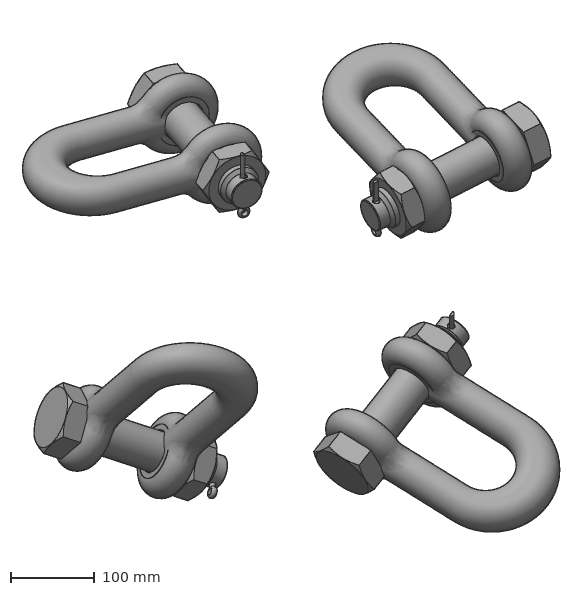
import cadquery as cq
import math

OVERALL_LENGTH = 278.6
EYE_DIAMETER = 106.2

BAR_HALF = 22.3
BAR_ROUND = 21.5
LEG_OFFSET = 58.8
CROWN_EXTRA = 9.5
OUTER_BEND_Y = EYE_DIAMETER / 2 + LEG_OFFSET + BAR_HALF - OVERALL_LENGTH
INNER_BEND_Y = OUTER_BEND_Y + CROWN_EXTRA

EYE_RADIUS = EYE_DIAMETER / 2
RIM_RADIUS = 18.5
BOSS_RADIUS = 34.0
BOSS_HALF = 19.0
HOLE_RADIUS = 26.7
NECK_RADIUS = 31.8

SHANK_RADIUS = 25.4
HEX_ACROSS_FLATS = 76.5
HEX_CHAMFER_RADIUS = 38.0
HEX_CHAMFER_ANGLE = 30
HEAD_THICKNESS = 28.1
NUT_THICKNESS = 26.5
SHANK_PROJECTION = 6.7
TAPER_LENGTH = 4.5
TIP_RADIUS = 20.5
TIP_LENGTH = 15.3
TIP_CHAMFER = 1.0

COTTER_RADIUS = 3.5
COTTER_HOLE_RADIUS = 4.5
COTTER_INSET = 9.2
LONG_LEG_TOP = 53.0
SHORT_LEG_TOP = 19.5
COTTER_BOTTOM = -39.0
COTTER_EYE_RADIUS = 7.8

HEAD_FACE_X = -LEG_OFFSET - BOSS_HALF
NUT_FACE_X = LEG_OFFSET + BOSS_HALF
NUT_END_X = NUT_FACE_X + NUT_THICKNESS
TAPER_START_X = NUT_END_X + SHANK_PROJECTION
TIP_START_X = TAPER_START_X + TAPER_LENGTH
TIP_END_X = TIP_START_X + TIP_LENGTH
COTTER_X = TIP_END_X - COTTER_INSET


def x_cylinder(radius, x_start, x_end):
    return cq.Workplane("YZ", origin=(x_start, 0, 0)).circle(radius).extrude(x_end - x_start)


def u_bar():
    """U-shaped bar with rounded edges; its legs end level with the bolt axis."""
    outer = LEG_OFFSET + BAR_HALF
    inner = LEG_OFFSET - BAR_HALF
    outline = (
        cq.Workplane("XY", origin=(0, 0, -BAR_HALF))
        .moveTo(-outer, 0)
        .lineTo(-outer, OUTER_BEND_Y)
        .threePointArc((0, OUTER_BEND_Y - outer), (outer, OUTER_BEND_Y))
        .lineTo(outer, 0)
        .lineTo(inner, 0)
        .lineTo(inner, INNER_BEND_Y)
        .threePointArc((0, INNER_BEND_Y - inner), (-inner, INNER_BEND_Y))
        .lineTo(-inner, 0)
        .close()
    )
    bar = outline.extrude(2 * BAR_HALF)
    long_edges = bar.faces("|Z").edges().filter(lambda edge: edge.Center().y < -BAR_HALF)
    return long_edges.fillet(BAR_ROUND)


def eye_rim(x):
    """Disc with a fully rounded rim, centred on the bolt axis."""
    rim_centre = EYE_RADIUS - RIM_RADIUS
    return (
        cq.Workplane("XY")
        .moveTo(x - RIM_RADIUS, 0)
        .lineTo(x - RIM_RADIUS, rim_centre)
        .threePointArc((x, EYE_RADIUS), (x + RIM_RADIUS, rim_centre))
        .lineTo(x + RIM_RADIUS, 0)
        .close()
        .revolve(360, (0, 0, 0), (1, 0, 0))
    )


def is_neck_edge(edge):
    """True for the edges where the top or bottom of a leg runs into the rounded rim of an eye."""
    box = edge.BoundingBox()
    beside_eye = -EYE_RADIUS < box.ymin and box.ymax < -RIM_RADIUS
    return beside_eye and abs(edge.Center().z) > BAR_HALF / 2


def bow():
    body = u_bar()
    for x in (-LEG_OFFSET, LEG_OFFSET):
        body = body.union(eye_rim(x))
    body = body.edges().filter(is_neck_edge).fillet(NECK_RADIUS)
    for x in (-LEG_OFFSET, LEG_OFFSET):
        boss = x_cylinder(BOSS_RADIUS, x - BOSS_HALF, x + BOSS_HALF)
        body = body.union(boss)
    reach = LEG_OFFSET + BAR_HALF
    return body.cut(x_cylinder(HOLE_RADIUS, -reach, reach))


def hexagon(x_start, thickness, chamfer_start, chamfer_end):
    """Hexagon prism along X with corners at +Y and -Y and 30 degree chamfers on the chosen ends."""
    corner = HEX_ACROSS_FLATS / math.sqrt(3)
    drop = (corner - HEX_CHAMFER_RADIUS) * math.tan(math.radians(HEX_CHAMFER_ANGLE))
    x_end = x_start + thickness
    profile = cq.Workplane("XY").moveTo(x_start, 0)
    if chamfer_start:
        profile = profile.lineTo(x_start, HEX_CHAMFER_RADIUS).lineTo(x_start + drop, corner)
    else:
        profile = profile.lineTo(x_start, corner)
    if chamfer_end:
        profile = profile.lineTo(x_end - drop, corner).lineTo(x_end, HEX_CHAMFER_RADIUS)
    else:
        profile = profile.lineTo(x_end, corner)
    envelope = profile.lineTo(x_end, 0).close().revolve(360, (0, 0, 0), (1, 0, 0))
    prism = cq.Workplane("YZ", origin=(x_start, 0, 0)).polygon(6, 2 * corner).extrude(thickness)
    return prism.intersect(envelope)


def bolt():
    shaft = (
        cq.Workplane("XY")
        .moveTo(HEAD_FACE_X, 0)
        .lineTo(HEAD_FACE_X, SHANK_RADIUS)
        .lineTo(TAPER_START_X, SHANK_RADIUS)
        .lineTo(TIP_START_X, TIP_RADIUS)
        .lineTo(TIP_END_X - TIP_CHAMFER, TIP_RADIUS)
        .lineTo(TIP_END_X, TIP_RADIUS - TIP_CHAMFER)
        .lineTo(TIP_END_X, 0)
        .close()
        .revolve(360, (0, 0, 0), (1, 0, 0))
    )
    head = hexagon(HEAD_FACE_X - HEAD_THICKNESS, HEAD_THICKNESS, True, False)
    nut = hexagon(NUT_FACE_X, NUT_THICKNESS, True, True)
    cotter_hole = (
        cq.Workplane("XY", origin=(COTTER_X, 0, -SHANK_RADIUS))
        .circle(COTTER_HOLE_RADIUS)
        .extrude(2 * SHANK_RADIUS)
    )
    return shaft.union(head).union(nut).cut(cotter_hole)


def shackle():
    """Bow and bolt as one solid: the eyes and legs run into the head and the nut."""
    return bow().union(bolt())


def cotter_leg(top, bottom, side):
    """Half-round leg on the +Y (side 1) or -Y (side -1) half of the cotter."""
    return (
        cq.Workplane("XY", origin=(COTTER_X, 0, bottom))
        .moveTo(-COTTER_RADIUS, 0)
        .threePointArc((0, side * COTTER_RADIUS), (COTTER_RADIUS, 0))
        .close()
        .extrude(top - bottom)
    )


def cotter():
    eye_z = COTTER_BOTTOM + COTTER_EYE_RADIUS
    wire_z = COTTER_BOTTOM + COTTER_RADIUS
    ring = (
        cq.Workplane("XZ")
        .moveTo(COTTER_X - COTTER_RADIUS, wire_z)
        .threePointArc((COTTER_X, COTTER_BOTTOM), (COTTER_X + COTTER_RADIUS, wire_z))
        .close()
        .revolve(360, (0, eye_z, 0), (1, eye_z, 0))
    )
    leg_bottom = eye_z + COTTER_EYE_RADIUS - COTTER_RADIUS
    long_leg = cotter_leg(LONG_LEG_TOP, leg_bottom, -1)
    short_leg = cotter_leg(SHORT_LEG_TOP, leg_bottom, 1)
    return ring.union(long_leg).union(short_leg)


result = cq.Compound.makeCompound([shackle().val(), cotter().val()])